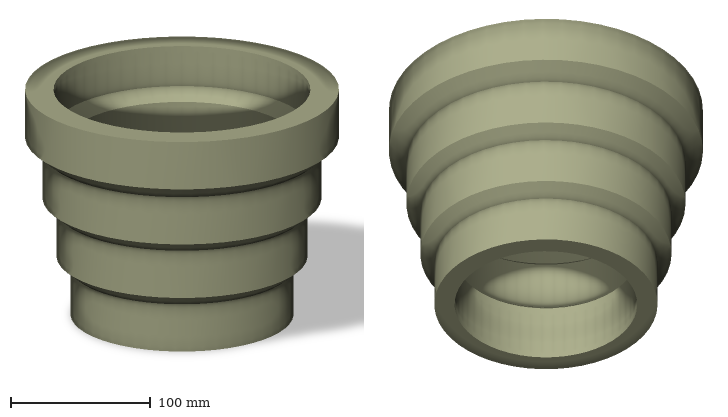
import cadquery as cq

outer_diameters = [160.0, 180.0, 200.0, 225.0]
cone_heights = [8.3, 8.3, 10.4]
step_height = 36.0
bore_cone_rise = 5.6
diameter_to_wall = 11

bore_ratio = 1 - 2 / diameter_to_wall
outer_radii = [diameter / 2 for diameter in outer_diameters]
bore_radii = [radius * bore_ratio for radius in outer_radii]
bore_cone_heights = [height * bore_ratio for height in cone_heights]

cone_tops = []
z = 0.0
for height in cone_heights:
    z += step_height + height
    cone_tops.append(z)
total_height = z + step_height


def stepped_profile(radii, tops, heights):
    """Points up one side of the wall: straight steps joined by cones."""
    points = [(radii[0], 0.0)]
    for lower, upper, top, height in zip(radii, radii[1:], tops, heights):
        points.append((lower, top - height))
        points.append((upper, top))
    points.append((radii[-1], total_height))
    return points


bore_cone_tops = [top + bore_cone_rise for top in cone_tops]
outer_side = stepped_profile(outer_radii, cone_tops, cone_heights)
bore_side = stepped_profile(bore_radii, bore_cone_tops, bore_cone_heights)
wall_section = cq.Workplane("XZ").polyline(outer_side + bore_side[::-1]).close()
result = wall_section.revolve(360, (0, 0, 0), (0, 1, 0))